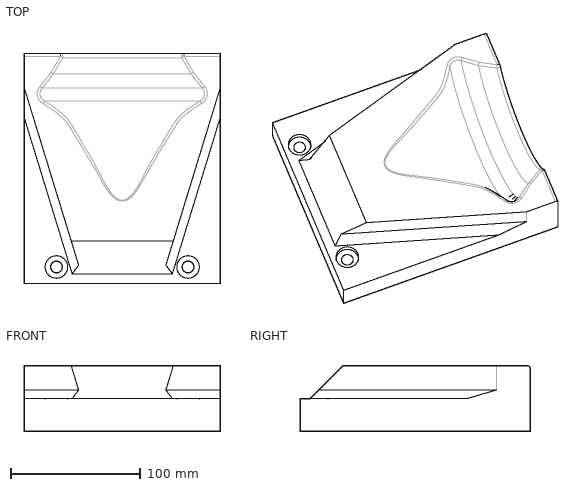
import cadquery as cq
import math

width = 151.6
length = 177.8
height = 50.8
base_height = 25.2

wedge_start = 151.6
slope_top = 33.0
slope_top_width = 79.0
flare_height = 6.8

hole_spacing = 101.7
hole_inset = 12.8
hole_diameter = 8.9
counterbore_diameter = 17.5
counterbore_depth = 5.0

axis_rise = 22.4
mouth_radius = 50.0
throat = (15.8, 58.3)
ring_start = (26.8, 66.3)
ring_crest = (31.3, 67.9)
ring_end = (36.8, 64.7)
nose_points = [(42.1, 57.2), (48.7, 50.1), (61.9, 42.3), (84.0, 32.0), (106.6, 24.5), (119.1, 20.8)]
rim_fillet = 2.3
edge_margin = 0.2


def make_side_profile():
    """Base and raised part with the 45 degree front slope, across the full width."""
    slope_foot = slope_top - (height - base_height)
    outline = [
        (0, 0),
        (length, 0),
        (length, height),
        (slope_top, height),
        (slope_foot, base_height),
        (0, base_height),
    ]
    return cq.Workplane("YZ").polyline(outline).close().extrude(width / 2, both=True)


def wedge_plan(side_offset):
    """Wedge outline moved outward at its sides, running past both ends of the block."""
    side_slope = (width - slope_top_width) / 2 / (wedge_start - slope_top)
    offset_in_x = side_offset * math.hypot(1, side_slope)
    half_front = slope_top_width / 2 - side_slope * (slope_top + flare_height) + offset_in_x
    half_back = slope_top_width / 2 + side_slope * (length + flare_height - slope_top) + offset_in_x
    front = -flare_height
    back = length + flare_height
    outline = [(-half_front, front), (half_front, front), (half_back, back), (-half_back, back)]
    return cq.Workplane("XY", origin=(0, 0, base_height)).polyline(outline).close()


def make_body():
    base = cq.Workplane("XY").box(width, length, base_height, centered=(True, False, False))
    wedge = wedge_plan(0).extrude(height - base_height)
    flare = wedge_plan(flare_height).extrude(flare_height, taper=45)
    return base.union(wedge).union(flare).intersect(make_side_profile())


def make_cavity():
    """Solid of revolution about an axis along Y, lying above the top face."""
    def place(point):
        distance, radius = point
        return (-distance, -radius)

    cavity_length = nose_points[-1][0]
    return (
        cq.Workplane("YZ", origin=(0, length, height + axis_rise))
        .moveTo(0, 0)
        .lineTo(*place((0, mouth_radius)))
        .lineTo(*place(throat))
        .lineTo(*place(ring_start))
        .threePointArc(place(ring_crest), place(ring_end))
        .spline([place(point) for point in nose_points], includeCurrent=True)
        .lineTo(*place((cavity_length, 0)))
        .close()
        .revolve(360, (0, 0, 0), (1, 0, 0))
    )


def round_rim(body):
    """Round the curved cavity rim, its mouth in the back face and the back top edges."""
    cavity_length = nose_points[-1][0]
    rim_zone = cq.selectors.BoxSelector(
        (-width / 2, length - cavity_length, height - edge_margin),
        (width / 2, length + edge_margin, height + edge_margin),
    )
    back_zone = cq.selectors.BoxSelector(
        (-width / 2, length - edge_margin, base_height / 2),
        (width / 2, length + edge_margin, height + edge_margin),
    )
    curved_rim = rim_zone - cq.selectors.TypeSelector("LINE")
    upright_edges = cq.selectors.ParallelDirSelector(cq.Vector(0, 0, 1))
    return body.edges(curved_rim + (back_zone - upright_edges)).fillet(rim_fillet)


def cut_screw_holes(body):
    return (
        body.copyWorkplane(cq.Workplane("XY", origin=(0, 0, base_height)))
        .pushPoints([(-hole_spacing / 2, hole_inset), (hole_spacing / 2, hole_inset)])
        .cboreHole(hole_diameter, counterbore_diameter, counterbore_depth, depth=base_height)
    )


body = make_body().cut(make_cavity())
result = cut_screw_holes(round_rim(body))